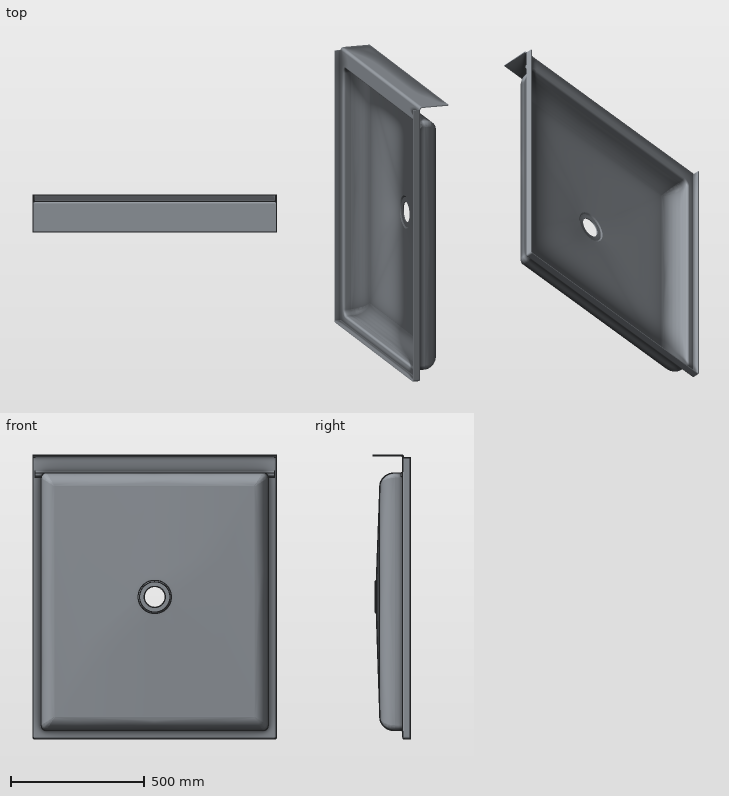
import cadquery as cq
import math

WIDTH = 914.4
LENGTH = 1066.8
DEPTH = 139.7
SHEET = 4.0
HALF_WIDTH = WIDTH / 2
HALF_LENGTH = LENGTH / 2

SHELF_DEPTH = 28.6
RIM_CORNER_RADIUS = 8.0
RIM_EDGE_RADIUS = 7.0

APRON_OUTER_RADIUS = 10.4
RIDGE_DEPTH = 36.0
RIDGE_WIDTH = 11.5
RIDGE_RUNOUT = 7.0
RIDGE_ROOT_RADIUS = 6.5

SIDE_MARGIN = 31.0
TOP_MARGIN = 67.5
MOUTH_RADIUS = 4.0
SHELF_TOLERANCE = 0.01
WALL_END_DEPTH = 57.0
FLOOR_DEPTH = 115.0
ROUND_WIDTH = 51.0
BASIN_CORNER_RADIUS = 20.0
FLOOR_CORNER_RADIUS = 1.0
ROUND_SECTIONS = 6
FLOOR_LEDGE = 1.0
FLOOR_BACKING = 20.0
FALL_LINE_SHARES = (0.25, 0.5, 0.75)
BASIN_HALF_WIDTH = HALF_WIDTH - SIDE_MARGIN
BASIN_TOP = HALF_LENGTH - TOP_MARGIN
BASIN_BOTTOM = SIDE_MARGIN - HALF_LENGTH

RING_DEPTH = 132.0
RING_BASE_DEPTH = 128.0
RING_BASE_RADIUS = 62.5
RING_FACE_RADIUS = 57.0
DRAIN_RADIUS = 39.0


def box_between(x0, x1, y0, y1, z0, z1):
    """Box given by its limits along each axis."""
    corner = cq.Vector(x0, y0, z0)
    return cq.Workplane(cq.Solid.makeBox(x1 - x0, y1 - y0, z1 - z0, corner))


def rim_body(offset):
    """Rim block, shrunk inwards by the offset; rounded where the flange meets the shelf."""
    half_width = HALF_WIDTH - offset
    shelf = offset - SHELF_DEPTH
    bottom = offset - HALF_LENGTH
    top = HALF_LENGTH - APRON_OUTER_RADIUS
    body = box_between(-half_width, half_width, shelf, 0, bottom, top)
    body = body.edges("|Y and <Z").fillet(RIM_CORNER_RADIUS - offset)
    return body.faces("<Y").edges("not >Z").fillet(RIM_EDGE_RADIUS - offset)


def basin_section(inset, depth, corner_radius):
    """Rounded rectangle across the basin at one depth, inset from the basin wall."""
    half_width = BASIN_HALF_WIDTH - inset
    top = BASIN_TOP - inset
    bottom = BASIN_BOTTOM + inset
    corners = [
        cq.Vector(-half_width, -depth, bottom),
        cq.Vector(half_width, -depth, bottom),
        cq.Vector(half_width, -depth, top),
        cq.Vector(-half_width, -depth, top),
    ]
    rectangle = cq.Wire.makePolygon(corners, close=True)
    return rectangle.fillet2D(corner_radius, rectangle.Vertices())


def basin_body(offset):
    """Basin down to the floor edge, shrunk inwards by the offset."""
    mouth = basin_section(offset, SHELF_DEPTH - SHEET, BASIN_CORNER_RADIUS)
    sections = []
    for index in range(ROUND_SECTIONS + 1):
        angle = math.pi / 2 * index / ROUND_SECTIONS
        inset = ROUND_WIDTH * (1 - math.cos(angle))
        depth = WALL_END_DEPTH + (FLOOR_DEPTH - WALL_END_DEPTH) * math.sin(angle)
        share = math.cos(angle)
        radius = FLOOR_CORNER_RADIUS + (BASIN_CORNER_RADIUS - FLOOR_CORNER_RADIUS) * share
        sections.append(basin_section(inset + offset, depth - offset, radius))
    wall = cq.Solid.makeLoft([mouth, sections[0]], True)
    floor_round = cq.Solid.makeLoft(sections, False)
    return cq.Workplane(wall).union(cq.Workplane(floor_round))


def floor_half(offset):
    """Floor for +X: one smooth face from the floor edge to the drain, thickened into the basin."""
    inset = ROUND_WIDTH + FLOOR_LEDGE + offset
    edge_y = offset - FLOOR_DEPTH
    ring_y = offset - RING_BASE_DEPTH
    half_width = BASIN_HALF_WIDTH - inset
    top = BASIN_TOP - inset
    bottom = BASIN_BOTTOM + inset
    ring_top = cq.Vector(0, ring_y, RING_BASE_RADIUS)
    ring_side = cq.Vector(RING_BASE_RADIUS, ring_y, 0)
    ring_bottom = cq.Vector(0, ring_y, -RING_BASE_RADIUS)
    top_corner = cq.Vector(half_width, edge_y, top)
    side_middle = cq.Vector(half_width, edge_y, 0)
    bottom_corner = cq.Vector(half_width, edge_y, bottom)

    corners = [
        ring_top,
        cq.Vector(0, edge_y, top),
        top_corner,
        bottom_corner,
        cq.Vector(0, edge_y, bottom),
        ring_bottom,
    ]
    outline = [cq.Edge.makeLine(start, end) for start, end in zip(corners, corners[1:])]
    outline.append(cq.Edge.makeThreePointArc(ring_bottom, ring_side, ring_top))

    fall_points = []
    for edge_point in (top_corner, side_middle, bottom_corner):
        towards = math.atan2(edge_point.z, edge_point.x)
        ring_x = RING_BASE_RADIUS * math.cos(towards)
        ring_z = RING_BASE_RADIUS * math.sin(towards)
        ring_point = cq.Vector(ring_x, ring_y, ring_z)
        for share in FALL_LINE_SHARES:
            fall_points.append(ring_point + (edge_point - ring_point) * share)
    slope = cq.Face.makeNSidedSurface(outline, fall_points)
    return cq.Workplane(cq.Solid.extrudeLinear(slope, cq.Vector(0, FLOOR_BACKING, 0)))


def drain_disc(offset):
    """Disc with a bevelled rim at the middle of the floor, backed into the basin."""
    back = FLOOR_DEPTH - FLOOR_BACKING
    front = RING_DEPTH - offset
    bevel_depth = RING_DEPTH - RING_BASE_DEPTH
    bevel_width = RING_BASE_RADIUS - RING_FACE_RADIUS
    disc = cq.Workplane("XZ", origin=(0, -back, 0)).circle(RING_BASE_RADIUS).extrude(front - back)
    return disc.faces("<Y").chamfer(bevel_depth, bevel_width)


def ridge():
    """Solid ridge across the shelf behind the threshold, with a rounded root on that side."""
    half_width = HALF_WIDTH - RIM_EDGE_RADIUS
    shelf = -SHELF_DEPTH
    crest = -RIDGE_DEPTH
    buried = shelf + SHEET
    root_top = BASIN_TOP + RIDGE_ROOT_RADIUS
    crest_bottom = BASIN_TOP - RIDGE_WIDTH
    foot = crest_bottom - RIDGE_RUNOUT
    profile = (
        cq.Workplane("YZ", origin=(-half_width, 0, 0))
        .moveTo(shelf, root_top)
        .radiusArc((shelf - RIDGE_ROOT_RADIUS, BASIN_TOP), RIDGE_ROOT_RADIUS)
        .lineTo(crest, BASIN_TOP)
        .lineTo(crest, crest_bottom)
        .lineTo(shelf, foot)
        .lineTo(buried, foot)
        .lineTo(buried, root_top)
        .close()
    )
    return profile.extrude(2 * half_width)


def rim_and_basin(offset):
    """Rim joined to the basin, with the mouth of the basin filleted against the shelf."""
    shelf = offset - SHELF_DEPTH
    mouth = cq.selectors.BoxSelector(
        (-BASIN_HALF_WIDTH - SHEET, shelf - SHELF_TOLERANCE, BASIN_BOTTOM - SHEET),
        (BASIN_HALF_WIDTH + SHEET, shelf + SHELF_TOLERANCE, BASIN_TOP + SHEET),
    )
    body = rim_body(offset).union(basin_body(offset))
    return body.edges(mouth).fillet(MOUTH_RADIUS + offset)


def tray_body(offset):
    """Solid tray bounded by the underside of the sheet, shrunk inwards by the offset."""
    floor = floor_half(offset)
    body = rim_and_basin(offset).union(floor).union(floor.mirror("YZ"))
    return body.union(drain_disc(offset))


def apron():
    """Apron sheet that turns off the threshold and runs down in -Y along the top edge."""
    outer = APRON_OUTER_RADIUS
    inner = outer - SHEET
    bend_z = HALF_LENGTH - outer
    user_y = SHEET - SHELF_DEPTH
    profile = (
        cq.Workplane("YZ", origin=(-HALF_WIDTH, 0, 0))
        .moveTo(user_y, bend_z)
        .radiusArc((user_y - outer, HALF_LENGTH), -outer)
        .lineTo(-DEPTH, HALF_LENGTH)
        .lineTo(-DEPTH, HALF_LENGTH - SHEET)
        .lineTo(user_y - outer, HALF_LENGTH - SHEET)
        .radiusArc((user_y - SHEET, bend_z), inner)
        .close()
    )
    return profile.extrude(WIDTH)


def drain_hole():
    """Cutter for the hole through the drain ring."""
    return cq.Workplane("XZ").circle(DRAIN_RADIUS).extrude(DEPTH)


shell = tray_body(0).union(ridge()).cut(tray_body(SHEET))
result = shell.union(apron()).cut(drain_hole())